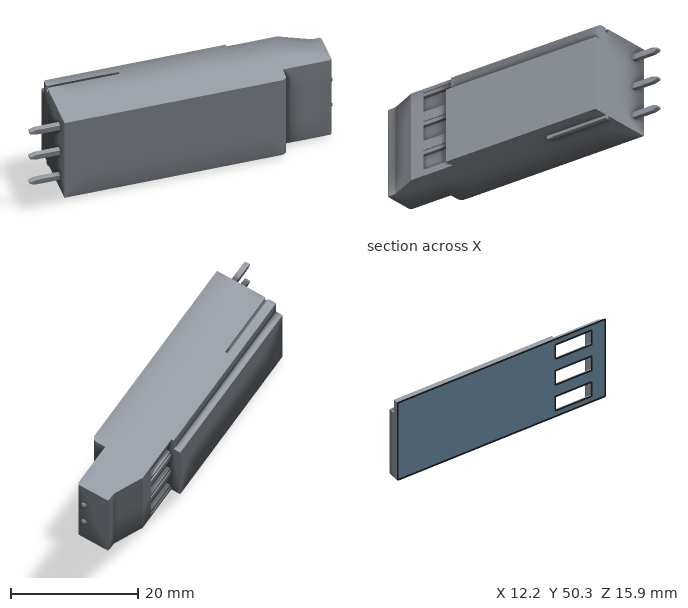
import cadquery as cq

POLES = 3
PITCH = 5.1
HEIGHT = POLES * PITCH
WIDTH = 12.2
LENGTH = 44.75

SHELF_LENGTH = 29.95
UPPER_LEFT = 1.65
NOSE_LEFT = 3.9
NOSE_RIGHT = 9.7
TAPER_START = 38.45
TAPER_END = 43.2
TAPER_BREAK = 0.15
NOSE_BEVEL_WIDTH = 0.15
NOSE_BEVEL_LENGTH = 0.275
SHOULDER = 36.65
SHOULDER_RADIUS = 0.9
NOSE_RADIUS = 0.4

STEP_WIDTH = 1.2
STEP_HEIGHT = 2.55

RECESS_END = 35.9
RECESS_HEIGHT = 3.9
RECESS_DEPTH = 0.2
CHANNEL_HEIGHT = 2.7
CHANNEL_DEPTH = 0.9
CHANNEL_END = RECESS_END + CHANNEL_DEPTH

PIN_X = 9.7
PIN_SIZE = 0.9
PIN_LENGTH = 5.05
PIN_TAPER = 0.95
PIN_TIP = 0.3

RIB_X = 2.9
NECK_WIDTH = 0.45
HEAD_WIDTH = 0.85
HEAD_BASE_WIDTH = 0.75
RIB_HEIGHT = 0.6
GROOVE_DEPTH = 0.75
FLARE_DEPTH = 0.3
RIB_LENGTH = 11.8
RIB_HEAD_LENGTH = 10.75

DOME_X = 8.4
DOME_RADIUS = 0.5


def make_housing():
    """Plate with the housing outline, stepped along the upper left edge of its shelf."""
    outline = (
        cq.Workplane("XY")
        .moveTo(0, 0)
        .lineTo(WIDTH, 0)
        .lineTo(WIDTH, SHOULDER - SHOULDER_RADIUS)
        .radiusArc((WIDTH - SHOULDER_RADIUS, SHOULDER), -SHOULDER_RADIUS)
        .lineTo(NOSE_RIGHT, SHOULDER)
        .lineTo(NOSE_RIGHT, LENGTH - NOSE_RADIUS)
        .radiusArc((NOSE_RIGHT - NOSE_RADIUS, LENGTH), -NOSE_RADIUS)
        .lineTo(NOSE_LEFT + NOSE_BEVEL_WIDTH, LENGTH)
        .lineTo(NOSE_LEFT, LENGTH - NOSE_BEVEL_LENGTH)
        .lineTo(NOSE_LEFT, TAPER_END)
        .lineTo(UPPER_LEFT + TAPER_BREAK, TAPER_START + TAPER_BREAK)
        .lineTo(UPPER_LEFT, TAPER_START)
        .lineTo(UPPER_LEFT, SHELF_LENGTH)
        .lineTo(0, SHELF_LENGTH)
        .close()
    )
    step = cq.Workplane("XY").box(STEP_WIDTH, SHELF_LENGTH, STEP_HEIGHT, centered=False)
    return outline.extrude(HEIGHT).cut(step.translate((0, 0, HEIGHT - STEP_HEIGHT)))


def make_wall_cut(start_depth, end_depth, end_y, height, z):
    """Box spanning two depths below the upper left wall, from the shelf to end_y."""
    size = (end_depth - start_depth, end_y - SHELF_LENGTH, height)
    cut = cq.Workplane("XY").box(*size, centered=(False, False, True))
    return cut.translate((UPPER_LEFT + start_depth, SHELF_LENGTH, z))


def make_pin(z):
    """Square pin pointing along -Y, tapered in Z at its tip."""
    half = PIN_SIZE / 2
    half_tip = PIN_TIP / 2
    taper_y = PIN_TAPER - PIN_LENGTH
    side = [
        (0, -half),
        (taper_y, -half),
        (-PIN_LENGTH, -half_tip),
        (-PIN_LENGTH, half_tip),
        (taper_y, half),
        (0, half),
    ]
    pin = cq.Workplane("YZ").polyline(side).close().extrude(half, both=True)
    return pin.translate((PIN_X, 0, z))


def make_key(depth, z):
    """Bar with a narrow neck that flares to a wide head, hanging down from height z."""
    half_neck = NECK_WIDTH / 2
    half_head = HEAD_WIDTH / 2
    half_base = HEAD_BASE_WIDTH / 2
    section = [
        (-half_neck, 0),
        (-half_head, -FLARE_DEPTH),
        (-half_base, -depth),
        (half_base, -depth),
        (half_head, -FLARE_DEPTH),
        (half_neck, 0),
    ]
    head = cq.Workplane("XZ").polyline(section).close().extrude(-RIB_HEAD_LENGTH)
    neck = cq.Workplane("XY").box(NECK_WIDTH, RIB_LENGTH, depth, centered=(True, False, False))
    return head.union(neck.translate((0, 0, -depth))).translate((RIB_X, 0, z))


def make_dome(z):
    """Ball centred on the nose face, so that half of it stands proud."""
    return cq.Workplane("XY").sphere(DOME_RADIUS).translate((DOME_X, LENGTH, z))


result = make_housing().cut(make_key(GROOVE_DEPTH, HEIGHT)).union(make_key(RIB_HEIGHT, 0))

for pole in range(POLES):
    pole_z = (pole + 0.5) * PITCH
    result = result.cut(make_wall_cut(0, RECESS_DEPTH, RECESS_END, RECESS_HEIGHT, pole_z))
    channel = make_wall_cut(RECESS_DEPTH, CHANNEL_DEPTH, CHANNEL_END, CHANNEL_HEIGHT, pole_z)
    result = result.cut(channel)
    result = result.union(make_pin(pole_z))

for joint in range(1, POLES):
    result = result.union(make_dome(joint * PITCH))